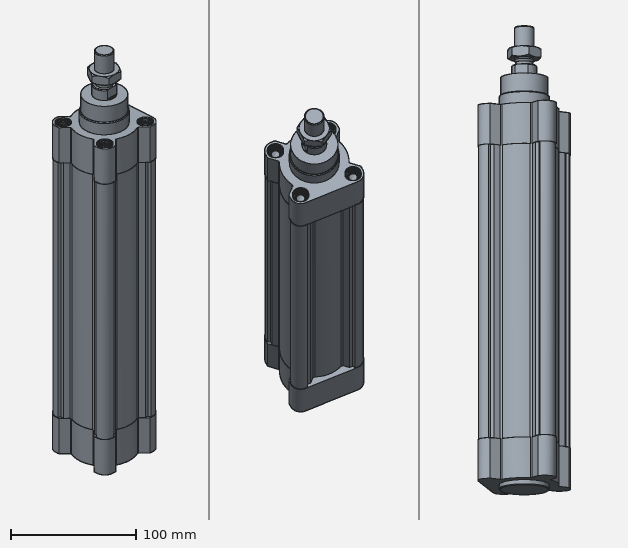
import cadquery as cq
import math

total_height = 377.8
rear_boss_height = 4.0
head_height = 33.2
front_head_top = 310.5
front_boss_top = 322.0
collar_top = 336.5
front_head_bottom = front_head_top - head_height
rear_head_top = rear_boss_height + head_height

width = 64.0
half_width = width / 2
screw_spacing = 46.5
screw_offset = screw_spacing / 2
head_core_diameter = 56.0
barrel_core_diameter = 55.5
flank_start = 19.5
flank_rise = half_width - flank_start
barrel_flank_inset = 0.5
flank_foot = 25.5
barrel_lobe_radius = 8.5
groove_floor = 29.0
groove_floor_end = 20.0
groove_mouth = 21.0

boss_diameter = 40.0
collar_diameter = 37.8
edge_chamfer = 0.8

recess_diameters = [13.2, 12.0, 11.5, 9.5, 8.0]
recess_step = 1.0
pit_diameter = 6.8
pit_depth = 2.3

rod_diameter = 20.0
rod_flat_width = 17.0
rod_flat_bottom = 337.8
shoulder_top = 346.5
neck_diameter = 14.0
neck_top = 349.0
thread_diameter = 16.0
thread_chamfer_length = 2.0

nut_width = 24.0
nut_bottom = 352.0
nut_height = 8.5
nut_corner_diameter = nut_width / math.cos(math.pi / 6)
nut_chamfer_angle = 30


def cylinder(diameter, bottom, top):
    return cq.Workplane("XY").workplane(offset=bottom).circle(diameter / 2).extrude(top - bottom)


def lobe(side_points, tip, bottom, top):
    """Lobe in the +X +Y corner, symmetric about the diagonal.

    side_points run along its +Y side, from inside the core to the start of the round corner,
    and tip is the corner's midpoint on the diagonal.
    """
    mirrored = [(y, x) for x, y in reversed(side_points)]
    return (
        cq.Workplane("XY", origin=(0, 0, bottom))
        .polyline(side_points)
        .threePointArc((tip, tip), mirrored[0])
        .polyline(mirrored, includeCurrent=False)
        .close()
        .extrude(top - bottom)
    )


def four_lobed_section(core_diameter, side_points, lobe_radius, bottom, top):
    """Round core with one lobe at each corner."""
    tip = screw_offset + lobe_radius / math.sqrt(2)
    corner_lobe = lobe(side_points, tip, bottom, top)
    section = cylinder(core_diameter, bottom, top)
    for quarter in range(4):
        section = section.union(corner_lobe.rotate((0, 0, 0), (0, 0, 1), 90 * quarter))
    return section


def head(bottom, top):
    """End head: lobed section, closed to a full flat on its +Y side."""
    lobe_radius = half_width - screw_offset
    side_points = [
        (0, flank_foot),
        (flank_foot - flank_rise, flank_foot),
        (flank_start, half_width),
        (screw_offset, half_width),
    ]
    body = four_lobed_section(head_core_diameter, side_points, lobe_radius, bottom, top)
    back = cq.Workplane("XY", origin=(0, half_width / 2, bottom))
    back = back.rect(2 * screw_offset, half_width).extrude(top - bottom)
    return body.union(back)


def barrel():
    """Profile tube with a long groove on both sides of each lobe."""
    barrel_flank_rise = flank_rise - barrel_flank_inset
    mouth_rise = math.sqrt(barrel_lobe_radius**2 - (screw_offset - groove_mouth) ** 2)
    side_points = [
        (0, flank_foot),
        (flank_foot - barrel_flank_rise, flank_foot),
        (groove_floor - barrel_flank_rise, groove_floor),
        (groove_floor_end, groove_floor),
        (groove_mouth, screw_offset + mouth_rise),
    ]
    return four_lobed_section(
        barrel_core_diameter, side_points, barrel_lobe_radius, rear_head_top, front_head_bottom
    )


def screw_recess():
    """Cutter for one stepped screw recess, centred on the Z axis."""
    depth = 0
    cutter = cq.Workplane("XY")
    for diameter in recess_diameters:
        depth += recess_step
        cutter = cutter.union(cylinder(diameter, front_head_top - depth, front_head_top))
    floor = front_head_top - depth
    pit = cq.Solid.makeCone(
        pit_diameter / 2, 0, pit_depth, pnt=cq.Vector(0, 0, floor), dir=cq.Vector(0, 0, -1)
    )
    return cutter.union(cq.Workplane(pit))


def make_housing():
    body = barrel().union(head(rear_boss_height, rear_head_top))
    body = body.union(head(front_head_bottom, front_head_top))

    rear_boss = cylinder(boss_diameter, 0, rear_boss_height).faces("<Z").chamfer(edge_chamfer)
    front_boss = cylinder(boss_diameter, front_head_top, front_boss_top).faces(">Z").chamfer(edge_chamfer)
    collar = cylinder(collar_diameter, front_head_top, collar_top)
    body = body.union(rear_boss).union(front_boss).union(collar)

    recess = screw_recess()
    for x in (-screw_offset, screw_offset):
        for y in (-screw_offset, screw_offset):
            body = body.cut(recess.translate((x, y, 0)))

    rod_bore = cylinder(rod_diameter, front_head_bottom, collar_top)
    return body.cut(rod_bore)


def make_rod():
    """Piston rod: flatted shank, undercut neck and plain cylinder for the threaded end."""
    shank = cylinder(rod_diameter, front_head_bottom, shoulder_top).faces(">Z").chamfer(edge_chamfer)
    for side in (-1, 1):
        flat_centre = side * (rod_flat_width + rod_diameter) / 2
        flat = cq.Workplane("XY", origin=(flat_centre, 0, rod_flat_bottom))
        flat = flat.rect(rod_diameter, 2 * rod_diameter).extrude(shoulder_top - rod_flat_bottom)
        shank = shank.cut(flat)
    neck = cylinder(neck_diameter, shoulder_top, neck_top)
    thread = cylinder(thread_diameter, neck_top, total_height)
    thread_chamfer_depth = (thread_diameter - neck_diameter) / 2
    thread = thread.faces("<Z").chamfer(thread_chamfer_length, thread_chamfer_depth)
    thread = thread.faces(">Z").chamfer(edge_chamfer)
    return shank.union(neck).union(thread)


def make_nut():
    """Hexagon nut, corners toward +Y and -Y, with its corners turned off at both ends."""
    hexagon = cq.Workplane("XY", origin=(0, 0, nut_bottom)).polygon(6, nut_corner_diameter)
    hexagon = hexagon.extrude(nut_height).rotate((0, 0, 0), (0, 0, 1), 90)
    radial_cut = (nut_corner_diameter - nut_width) / 2
    axial_cut = radial_cut * math.tan(math.radians(nut_chamfer_angle))
    envelope = cylinder(nut_corner_diameter, nut_bottom, nut_bottom + nut_height)
    envelope = envelope.faces("<Z").chamfer(axial_cut, radial_cut)
    envelope = envelope.faces(">Z").chamfer(axial_cut, radial_cut)
    bore = cylinder(thread_diameter, nut_bottom, nut_bottom + nut_height)
    return hexagon.intersect(envelope).cut(bore)


housing = make_housing()
rod = make_rod()
nut = make_nut()

result = cq.Compound.makeCompound([housing.val(), rod.val(), nut.val()])